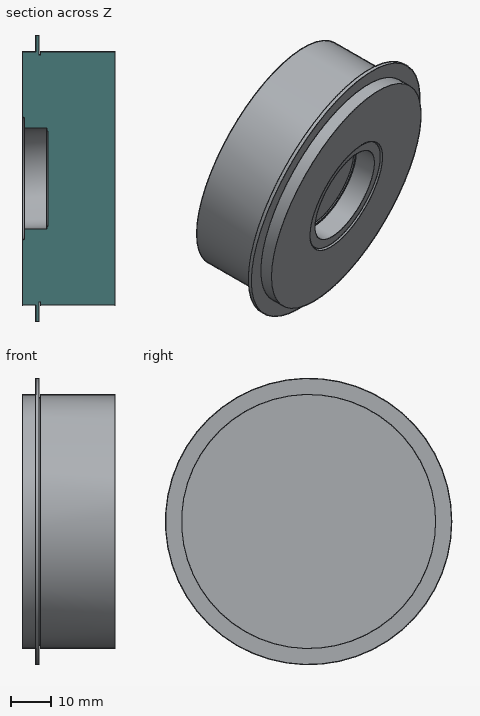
import cadquery as cq


length = 23.0
body_diameter = 63.0

flange_diameter = 71.0
flange_start = 3.3
flange_thickness = 0.9
flange_end = flange_start + flange_thickness
relief_diameter = 61.5
relief_width = 0.3

recess_mouth_diameter = 30.5
recess_floor_diameter = 29.95
recess_depth = 0.5

bore_diameter = 25.0
bore_depth = 6.0

seat_mouth_diameter = 24.0
seat_floor_diameter = 23.4
seat_depth = (seat_mouth_diameter - seat_floor_diameter) / 2


def disc(diameter, start, thickness):
    """Cylinder on the X axis that begins at X = start."""
    return cq.Workplane("YZ").workplane(offset=start).circle(diameter / 2).extrude(thickness)


def tapered_disc(start_diameter, end_diameter, start, thickness):
    """Truncated cone on the X axis that begins at X = start."""
    end = start + thickness
    half_section = [
        (start, 0),
        (start, start_diameter / 2),
        (end, end_diameter / 2),
        (end, 0),
    ]
    return cq.Workplane("XY").polyline(half_section).close().revolve(360, (0, 0, 0), (1, 0, 0))


body = disc(body_diameter, 0, length)
flange = disc(flange_diameter, flange_start, flange_thickness)

relief_core = disc(relief_diameter, flange_end, relief_width)
relief = disc(body_diameter, flange_end, relief_width).cut(relief_core)

recess = tapered_disc(recess_mouth_diameter, recess_floor_diameter, 0, recess_depth)
bore = disc(bore_diameter, 0, bore_depth)
seat = tapered_disc(seat_mouth_diameter, seat_floor_diameter, bore_depth, seat_depth)

result = body.union(flange).cut(relief).cut(recess).cut(bore).cut(seat)